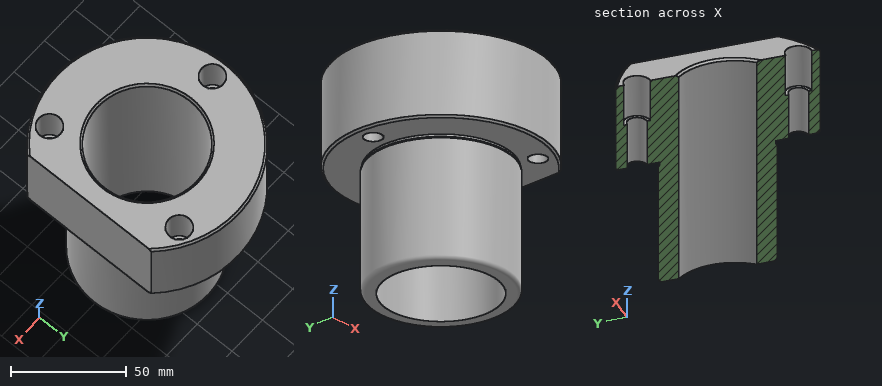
import cadquery as cq
import math

flange_diameter = 104.0
flange_thickness = 42.0
flat_distance = 38.0
flange_chamfer = 1.0

total_height = 102.0
spigot_diameter = 70.0
spigot_end_radius = 2.0
relief_width = 2.0
relief_depth = 0.5
relief_taper_angle = 30.0

bore_diameter = 56.0
bore_chamfer = 1.0

hole_count = 3
hole_circle_radius = 43.0
first_hole_angle = 60.0
hole_diameter = 9.0
counterbore_diameter = 12.0
counterbore_depth = 20.0

spigot_length = total_height - flange_thickness

spigot_radius = spigot_diameter / 2
relief_radius = spigot_radius - relief_depth
relief_taper_length = relief_depth / math.tan(math.radians(relief_taper_angle))


def make_flange():
    """Chamfered disc, cut off by a plane on the +X side."""
    disc = (
        cq.Workplane("XY")
        .circle(flange_diameter / 2)
        .extrude(flange_thickness)
        .edges()
        .chamfer(flange_chamfer)
    )
    beyond_flat = (
        cq.Workplane("XY")
        .box(flange_diameter, flange_diameter, flange_thickness, centered=(False, True, False))
        .translate((flat_distance, 0, 0))
    )
    return disc.cut(beyond_flat)


def make_spigot():
    """Rounded-end cylinder with a relief groove directly under the flange."""
    profile = (
        cq.Workplane("XZ")
        .moveTo(0, 0)
        .lineTo(relief_radius, 0)
        .lineTo(relief_radius, relief_taper_length - relief_width)
        .lineTo(spigot_radius, -relief_width)
        .lineTo(spigot_radius, -spigot_length)
        .lineTo(0, -spigot_length)
        .close()
    )
    body = profile.revolve(360, (0, 0, 0), (0, 1, 0))
    return body.faces("<Z").edges().fillet(spigot_end_radius)


def cut_bore(part):
    """Through bore with a chamfered mouth at the flange face."""
    bored = part.faces(">Z").workplane(origin=(0, 0, flange_thickness)).hole(bore_diameter)
    mouth = cq.selectors.RadiusNthSelector(0)
    return bored.faces(">Z").edges("%CIRCLE").edges(mouth).chamfer(bore_chamfer)


def cut_screw_holes(part):
    """Counterbored holes through the flange on a common circle."""
    return (
        part.faces(">Z")
        .workplane(origin=(0, 0, flange_thickness))
        .polarArray(hole_circle_radius, first_hole_angle, 360, hole_count)
        .cboreHole(hole_diameter, counterbore_diameter, counterbore_depth)
    )


result = cut_screw_holes(cut_bore(make_flange().union(make_spigot())))